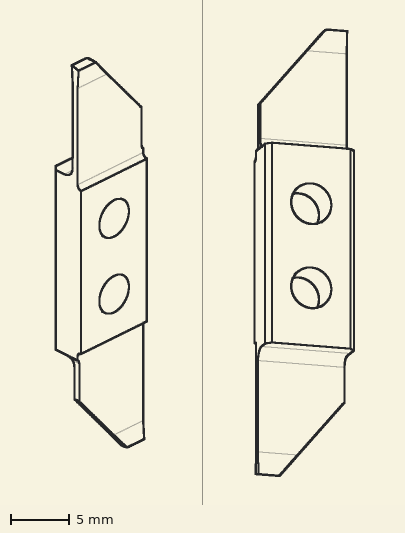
import cadquery as cq
import math

thickness = 3.6
width = 8.0
length = 40.0

body_half_length = 8.9
body_chamfer = 0.5
hole_diameter = 3.6
hole_spacing = 7.5

blade_front = 2.55
blade_back = 3.15
root_radius = 1.0
back_step_radius = thickness - blade_back
back_step_start = 8.05
flare_length = 2.0
flare_depth = 0.1
tip_drop = 0.2
edge_inset = 0.2
edge_root_radius = 0.5
bevel_start = 13.0
bevel_angle = 40.0
bevel_tip_radius = 0.3

half_width = width / 2
half_length = length / 2


def side_profile():
    """Half of the XZ section, from the middle of the body up to one tip."""
    flare_start = half_length - flare_length
    return (
        cq.Workplane("XZ", origin=(0, half_width, 0))
        .lineTo(0, body_half_length)
        .lineTo(blade_front - root_radius, body_half_length)
        .radiusArc((blade_front, body_half_length + root_radius), -root_radius)
        .lineTo(blade_front, flare_start)
        .lineTo(blade_front - flare_depth, half_length)
        .lineTo(blade_back + flare_depth, half_length - tip_drop)
        .lineTo(blade_back, flare_start)
        .lineTo(blade_back, back_step_start + back_step_radius)
        .radiusArc((thickness, back_step_start), -back_step_radius)
        .lineTo(thickness, 0)
        .close()
        .extrude(width)
    )


def blade_outline():
    """YZ outline of one half: full-width body and a blade with a bevelled +Y edge."""
    blade_edge = half_width - edge_inset
    bevel_top = blade_edge - (half_length - bevel_start) * math.tan(math.radians(bevel_angle))
    root_rise = math.sqrt(edge_root_radius**2 - (edge_root_radius - edge_inset) ** 2)
    outline = (
        cq.Workplane("YZ")
        .moveTo(-half_width, 0)
        .lineTo(half_width, 0)
        .lineTo(half_width, body_half_length)
        .radiusArc((blade_edge, body_half_length + root_rise), edge_root_radius)
        .lineTo(blade_edge, bevel_start)
        .lineTo(bevel_top, half_length)
        .lineTo(-half_width, half_length)
        .close()
        .extrude(thickness)
    )
    tip_corner = cq.selectors.NearestToPointSelector((thickness / 2, bevel_top, half_length))
    return outline.edges(tip_corner).fillet(bevel_tip_radius)


upper_half = side_profile().intersect(blade_outline())
lower_half = upper_half.rotate((0, 0, 0), (1, 0, 0), 180)
insert = upper_half.union(lower_half, clean=True)

insert = insert.faces("<X").edges("|Z").chamfer(body_chamfer)

holes = (
    cq.Workplane("YZ")
    .pushPoints([(0, -hole_spacing / 2), (0, hole_spacing / 2)])
    .circle(hole_diameter / 2)
    .extrude(thickness)
)
result = insert.cut(holes)